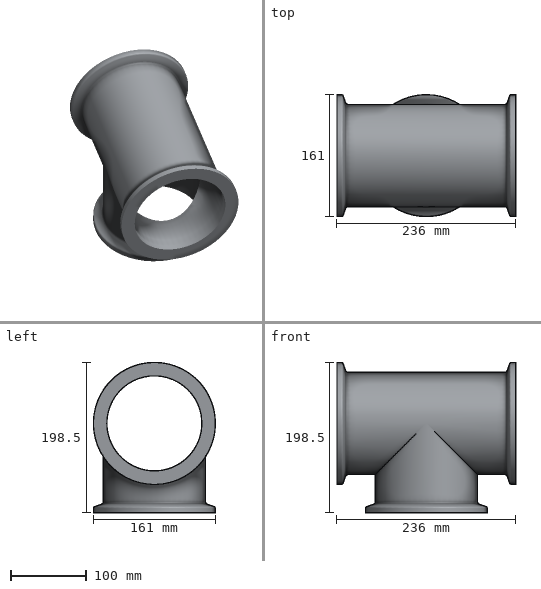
import cadquery as cq
import math

tube_diameter = 135.4
bore_diameter = 125.0
flange_diameter = 161.0
arm_length = 118.0

rim_corner_height = 7.7
slope_angle = 20.0
blend_radius = 2.5

tube_radius = tube_diameter / 2
flange_radius = flange_diameter / 2
slope_height = (flange_radius - tube_radius) * math.tan(math.radians(slope_angle))
slope_foot_height = rim_corner_height + slope_height

arm_directions = [(-1, 0, 0), (1, 0, 0), (0, 0, -1)]


def arm_plane(direction):
    """Plane at the tee centre whose normal points along one arm."""
    return cq.Plane(origin=(0, 0, 0), xDir=(0, 1, 0), normal=direction)


def bore(direction):
    """Bore of one arm, from the tee centre to its flange face."""
    return cq.Workplane(arm_plane(direction)).circle(bore_diameter / 2).extrude(arm_length)


def flanged_arm(direction):
    """Solid tube arm with its flange, revolved about the arm axis."""
    profile = (
        cq.Workplane("XZ")
        .moveTo(0, 0)
        .lineTo(tube_radius, 0)
        .lineTo(tube_radius, arm_length - slope_foot_height)
        .lineTo(flange_radius, arm_length - rim_corner_height)
        .lineTo(flange_radius, arm_length)
        .lineTo(0, arm_length)
        .close()
    )
    arm = profile.revolve(360, (0, 0, 0), (0, 1, 0))
    slope_edges = arm.faces("%CONE").edges("%CIRCLE")
    arm = slope_edges.fillet(blend_radius)
    return cq.Workplane(arm.val().moved(arm_plane(direction).location))


body = cq.Workplane()
for arm_direction in arm_directions:
    body = body.add(flanged_arm(arm_direction))
body = body.combine()

for arm_direction in arm_directions:
    body = body.cut(bore(arm_direction))

result = body